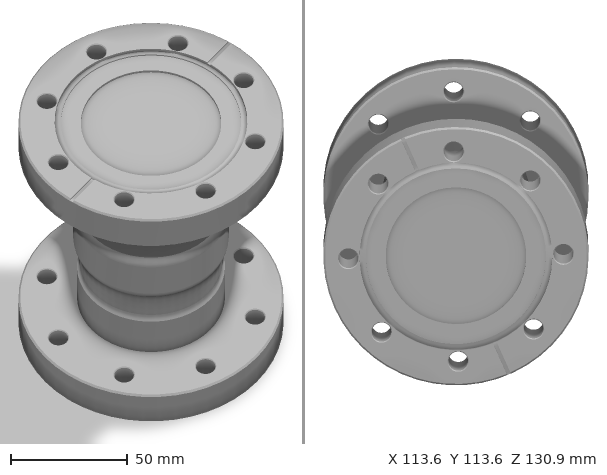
import cadquery as cq
import math

length = 130.9
half_length = length / 2

flange_diameter = 113.6
flange_thickness = 17.3
flange_chamfer = 0.8

recess_diameter = 82.6
recess_depth = 1.7
knife_diameter = 77.2
knife_tip_depth = 0.7
seal_floor_depth = 1.3
bore_diameter = 60.2
bore_floor_depth = 2.5

bolt_count = 8
bolt_hole_diameter = 8.4
bolt_hole_chamfer = 0.4
bolt_circle_diameter = 92.1
groove_width = 1.7
groove_depth = 0.7

tube_diameter = 63.5
tube_end_height = 28.5
neck_diameter = 61.2
neck_height = 25.4
bulge_diameter = 66.7
bulge_edge_diameter = 63.0
bulge_height = 12.7
bulge_straight_height = 8.5
neck_sag = 0.3


def make_barrel():
    """Straight cylindrical middle of the bulge."""
    barrel_height = 2 * bulge_straight_height
    return cq.Workplane("XY").cylinder(barrel_height, bulge_diameter / 2)


def vertical_start_arc_middle(start, end):
    """Midpoint of the arc from start to end that leaves start parallel to Z."""
    radial = end[0] - start[0]
    rise = end[1] - start[1]
    signed_radius = (radial**2 + rise**2) / (2 * radial)
    half_sweep = math.asin(rise / abs(signed_radius)) / 2
    return (
        start[0] + signed_radius * (1 - math.cos(half_sweep)),
        start[1] + abs(signed_radius) * math.sin(half_sweep),
    )


def make_upper_body():
    """Everything above the barrel, revolved about Z."""
    flange_radius = flange_diameter / 2
    tube_radius = tube_diameter / 2
    neck_radius = neck_diameter / 2
    bulge_radius = bulge_diameter / 2
    bulge_edge_radius = bulge_edge_diameter / 2
    flange_bottom = half_length - flange_thickness
    neck_middle = (
        (bulge_edge_radius + neck_radius) / 2 - neck_sag,
        (bulge_height + neck_height) / 2,
    )
    shoulder_middle = vertical_start_arc_middle(
        (bulge_radius, bulge_straight_height), (bulge_edge_radius, bulge_height)
    )
    collar_middle = vertical_start_arc_middle(
        (neck_radius, neck_height), (tube_radius, tube_end_height)
    )
    profile = (
        cq.Workplane("XZ")
        .moveTo(0, bulge_straight_height)
        .lineTo(bulge_radius, bulge_straight_height)
        .threePointArc(shoulder_middle, (bulge_edge_radius, bulge_height))
        .threePointArc(neck_middle, (neck_radius, neck_height))
        .threePointArc(collar_middle, (tube_radius, tube_end_height))
        .lineTo(tube_radius, flange_bottom)
        .lineTo(flange_radius - flange_chamfer, flange_bottom)
        .lineTo(flange_radius, flange_bottom + flange_chamfer)
        .lineTo(flange_radius, half_length - flange_chamfer)
        .lineTo(flange_radius - flange_chamfer, half_length)
        .lineTo(recess_diameter / 2, half_length)
        .lineTo(recess_diameter / 2, half_length - recess_depth)
        .lineTo(knife_diameter / 2, half_length - knife_tip_depth)
        .lineTo(knife_diameter / 2, half_length - seal_floor_depth)
        .lineTo(bore_diameter / 2, half_length - seal_floor_depth)
        .lineTo(bore_diameter / 2, half_length - bore_floor_depth)
        .lineTo(0, half_length - bore_floor_depth)
        .close()
    )
    return profile.revolve(360, (0, 0, 0), (0, 1, 0))


def make_leak_grooves():
    """Two radial grooves along Y, from the sealing recess out through the rim."""
    bar = (
        cq.Workplane("XY", origin=(0, 0, half_length - groove_depth))
        .rect(groove_width, flange_diameter)
        .extrude(groove_depth)
    )
    recess_opening = (
        cq.Workplane("XY", origin=(0, 0, half_length - groove_depth))
        .circle(recess_diameter / 2)
        .extrude(groove_depth)
    )
    return bar.cut(recess_opening)


def make_bolt_holes():
    """Ring of flange holes straddling the X and Y axes, chamfered at both ends."""
    flange_bottom = half_length - flange_thickness
    hole_radius = bolt_hole_diameter / 2
    mouth_radius = hole_radius + bolt_hole_chamfer
    hole = (
        cq.Workplane("XZ")
        .moveTo(0, flange_bottom)
        .lineTo(mouth_radius, flange_bottom)
        .lineTo(hole_radius, flange_bottom + bolt_hole_chamfer)
        .lineTo(hole_radius, half_length - bolt_hole_chamfer)
        .lineTo(mouth_radius, half_length)
        .lineTo(0, half_length)
        .close()
        .revolve(360, (0, 0, 0), (0, 1, 0))
        .val()
    )
    return (
        cq.Workplane("XY")
        .polarArray(bolt_circle_diameter / 2, 180 / bolt_count, 360, bolt_count)
        .eachpoint(lambda place: hole.moved(place), combine="a")
    )


upper_body = make_upper_body().cut(make_leak_grooves()).cut(make_bolt_holes())
result = make_barrel().union(upper_body).union(upper_body.mirror("XY"))